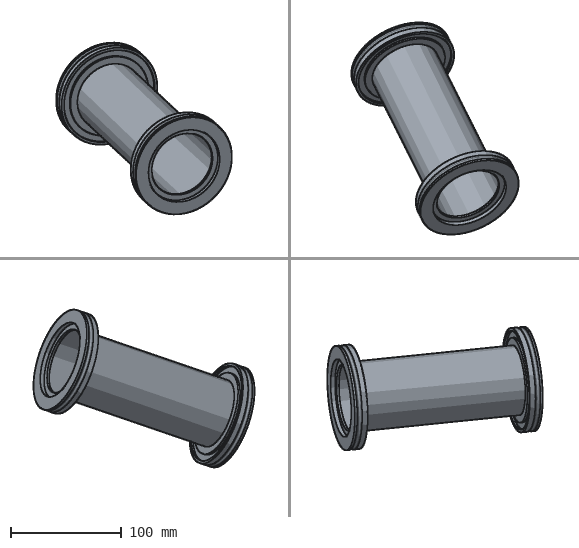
import cadquery as cq

LENGTH = 175.8
FLANGE_DIAMETER = 95.0
FLANGE_THICKNESS = 12.1

TUBE_DIAMETER = 63.5
BORE_DIAMETER = 60.1
TUBE_INSET = 6.3

RECESS_DIAMETER = 70.5
RECESS_DEPTH = 4.0

CHANNEL_OUTER_DIAMETER = 89.8
CHANNEL_INNER_DIAMETER = 77.2
CHANNEL_DEPTH = 2.1

GROOVE_START = 2.3
GROOVE_DEPTH = 1.2
GROOVE_WALL_DEPTH = 0.79
GROOVE_MOUTH_WIDTH = 4.5
GROOVE_FLOOR_WIDTH = 2.3


def disc(diameter, start, end):
    """Solid disc on the X axis between two X positions."""
    return cq.Workplane("YZ", origin=(start, 0, 0)).circle(diameter / 2).extrude(end - start)


def ring(outer_diameter, inner_diameter, start, end):
    """Ring on the X axis between two X positions."""
    return disc(outer_diameter, start, end).cut(disc(inner_diameter, start, end))


def rim_groove():
    """Revolved cutter for the round-bottomed groove around the flange rim."""
    rim_radius = FLANGE_DIAMETER / 2
    wall_foot_radius = rim_radius - GROOVE_WALL_DEPTH
    groove_end = GROOVE_START + GROOVE_MOUTH_WIDTH
    groove_middle = GROOVE_START + GROOVE_MOUTH_WIDTH / 2
    half_floor = GROOVE_FLOOR_WIDTH / 2
    profile = (
        cq.Workplane("XY")
        .moveTo(GROOVE_START, rim_radius)
        .lineTo(groove_middle - half_floor, wall_foot_radius)
        .threePointArc(
            (groove_middle, rim_radius - GROOVE_DEPTH),
            (groove_middle + half_floor, wall_foot_radius),
        )
        .lineTo(groove_end, rim_radius)
        .close()
    )
    return profile.revolve(360, (0, 0, 0), (1, 0, 0))


def make_flange():
    """Flange with its outer face at X = 0 and its body toward +X."""
    body = ring(FLANGE_DIAMETER, BORE_DIAMETER, 0, FLANGE_THICKNESS)
    recess = disc(RECESS_DIAMETER, 0, RECESS_DEPTH)
    tube_seat = disc(TUBE_DIAMETER, TUBE_INSET, FLANGE_THICKNESS)
    channel = ring(
        CHANNEL_OUTER_DIAMETER,
        CHANNEL_INNER_DIAMETER,
        FLANGE_THICKNESS - CHANNEL_DEPTH,
        FLANGE_THICKNESS,
    )
    return body.cut(recess).cut(tube_seat).cut(channel).cut(rim_groove())


def make_tube():
    """Plain tube whose ends sit in the flange seats."""
    half_length = LENGTH / 2 - TUBE_INSET
    return ring(TUBE_DIAMETER, BORE_DIAMETER, -half_length, half_length)


tube = make_tube()

flanges = []
for turn in (0, 180):
    flange = make_flange().translate((-LENGTH / 2, 0, 0)).rotate((0, 0, 0), (0, 0, 1), turn)
    flanges.append(flange.val())

result = cq.Compound.makeCompound([tube.val(), *flanges])